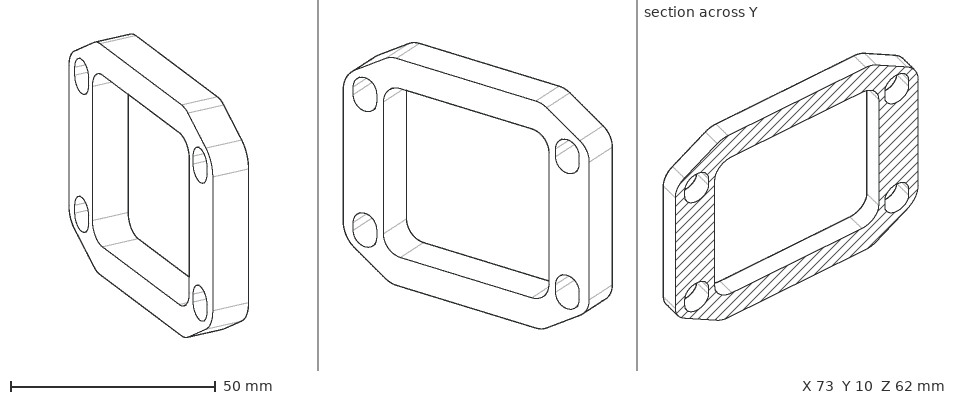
import cadquery as cq

width = 73.0
thickness = 10.0
height = 62.0

slope_run = 14.1
slope_rise = 8.9
left_radius = 6.0
right_radius = 7.5
end_radius = 6.0

window_width = 49.05
window_height = 46.05
window_radius = 5.05

slot_width = 7.0
slot_length = 9.1
slot_spacing_x = 60.0
slot_spacing_z = 37.0


def make_plate():
    """Octagonal plate with every vertex of its outline rounded."""
    half_width = width / 2
    half_height = height / 2
    flat_x = half_width - slope_run
    flat_z = half_height - slope_rise
    outline = [
        (-half_width, -flat_z),
        (-flat_x, -half_height),
        (flat_x, -half_height),
        (half_width, -flat_z),
        (half_width, flat_z),
        (flat_x, half_height),
        (-flat_x, half_height),
        (-half_width, flat_z),
    ]
    plate = (
        cq.Workplane("XZ")
        .polyline(outline)
        .close()
        .extrude(thickness / 2, both=True)
    )
    plate = plate.faces("<X").edges("|Y").fillet(left_radius)
    plate = plate.faces(">X").edges("|Y").fillet(right_radius)
    plate = plate.faces("<Z or >Z").edges("|Y").fillet(end_radius)
    return plate


def make_window():
    """Rounded rectangular opening through the plate."""
    return (
        cq.Workplane("XZ")
        .rect(window_width, window_height)
        .extrude(thickness, both=True)
        .edges("|Y")
        .fillet(window_radius)
    )


def make_slots():
    """Four upright through slots near the corners."""
    return (
        cq.Workplane("XZ")
        .rect(slot_spacing_x, slot_spacing_z, forConstruction=True)
        .vertices()
        .slot2D(slot_length, slot_width, 90)
        .extrude(thickness, both=True)
    )


result = make_plate().cut(make_window()).cut(make_slots())